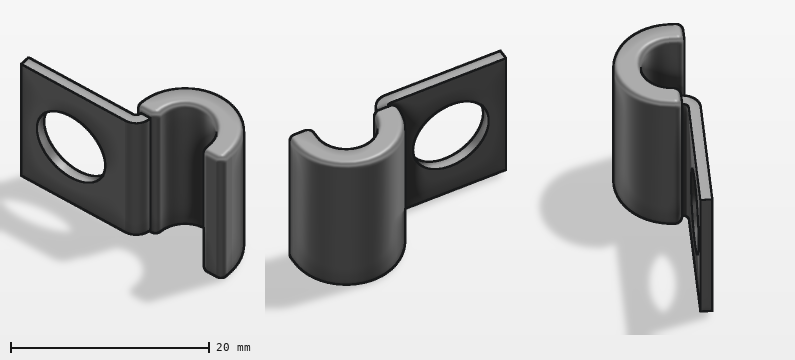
import cadquery as cq
import math

tube_radius = 3.175
cushion_thickness = 0.79
strap_thickness = 1.225
strap_width = 15.88
axis_to_tab_end = 19.05
axis_to_tab_face = 2.38
inner_bend_radius = 0.61
hole_to_tab_end = 6.35
hole_diameter = 8.7
free_leg_length = 1.5875

strap_inner_radius = tube_radius + cushion_thickness
strap_outer_radius = strap_inner_radius + strap_thickness
cushion_outer_radius = strap_outer_radius + cushion_thickness
cushion_width = strap_width + 2 * cushion_thickness
outer_bend_radius = inner_bend_radius + strap_thickness
bend_start_y = outer_bend_radius - axis_to_tab_face
bend_center_x = -strap_inner_radius - outer_bend_radius
tab_back_y = strap_thickness - axis_to_tab_face


def bend_midpoint(radius):
    """Halfway point of the quarter-circle bend at the given radius."""
    offset = radius * math.sqrt(0.5)
    return (bend_center_x + offset, bend_start_y - offset)


def make_cushion():
    """Half-round sleeve with two straight legs and every edge rounded."""
    sleeve = (
        cq.Workplane("XY")
        .workplane(offset=-cushion_width / 2)
        .moveTo(-cushion_outer_radius, bend_start_y)
        .lineTo(-cushion_outer_radius, 0)
        .threePointArc((0, cushion_outer_radius), (cushion_outer_radius, 0))
        .lineTo(cushion_outer_radius, -free_leg_length)
        .lineTo(tube_radius, -free_leg_length)
        .lineTo(tube_radius, 0)
        .threePointArc((0, tube_radius), (-tube_radius, 0))
        .lineTo(-tube_radius, bend_start_y)
        .close()
        .extrude(cushion_width)
    )
    return sleeve.edges().fillet(cushion_thickness)


def make_tab():
    """Flat tab with a bend that rises into the near end of the cushion."""
    tab = (
        cq.Workplane("XY")
        .workplane(offset=-strap_width / 2)
        .moveTo(-axis_to_tab_end, -axis_to_tab_face)
        .lineTo(bend_center_x, -axis_to_tab_face)
        .threePointArc(
            bend_midpoint(outer_bend_radius),
            (-strap_inner_radius, bend_start_y),
        )
        .lineTo(-strap_inner_radius, 0)
        .lineTo(-strap_outer_radius, 0)
        .lineTo(-strap_outer_radius, bend_start_y)
        .threePointArc(
            bend_midpoint(inner_bend_radius),
            (bend_center_x, tab_back_y),
        )
        .lineTo(-axis_to_tab_end, tab_back_y)
        .close()
        .extrude(strap_width)
    )
    hole = (
        cq.Workplane("XZ", origin=(hole_to_tab_end - axis_to_tab_end, tab_back_y, 0))
        .circle(hole_diameter / 2)
        .extrude(strap_thickness)
    )
    return tab.cut(hole)


result = make_cushion().union(make_tab())